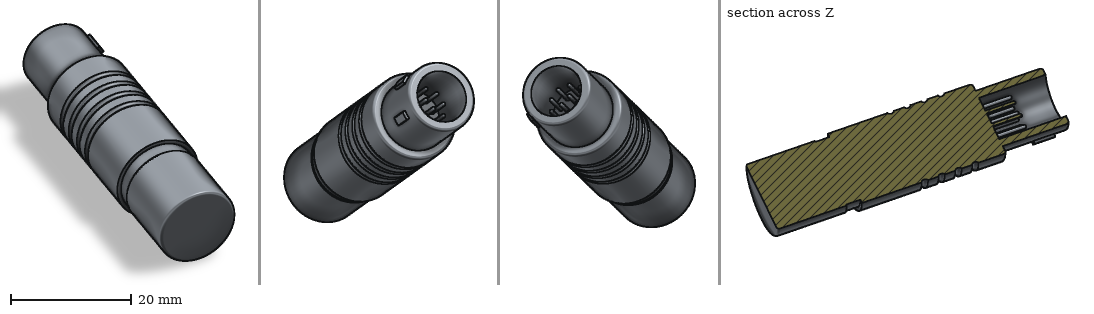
import cadquery as cq
import math

total_length = 53.0
body_diameter = 15.0
plug_diameter = 12.0
neck_diameter = 13.55
tail_diameter = 14.0

plug_end = 12.0
body_end = 38.0
neck_end = 40.5
edge_radius = 0.55

groove_count = 4
first_groove_x = 17.6
groove_pitch = 3.0
groove_width = 1.1
groove_depth = 0.35

bore_diameter = 8.8
bore_depth = plug_end
pin_diameter = 0.7
pin_length = 5.3
pin_root = 0.55
outer_pin_count = 10
outer_pin_circle_radius = 3.3
inner_pin_count = 4
inner_pin_circle_radius = 1.4

rib_start = 2.6
rib_length = 3.7
rib_width = 1.5
rib_outer_radius = 6.5
rib_root_radius = 5.3
rib_angles = (-30, 30)


def cylinder(start, length, diameter):
    """Cylinder along X, beginning at X = start."""
    return cq.Workplane("YZ").workplane(offset=start).circle(diameter / 2).extrude(length)


def make_shell():
    """Stepped round housing with rounded outer edges."""
    plug = cylinder(0, plug_end, plug_diameter).faces("<X").edges().fillet(edge_radius)
    body = cylinder(plug_end, body_end - plug_end, body_diameter).faces("<X").edges().fillet(edge_radius)
    neck = cylinder(body_end, neck_end - body_end, neck_diameter)
    tail = cylinder(neck_end, total_length - neck_end, tail_diameter).faces(">X").edges().fillet(edge_radius)
    return plug.union(body).union(neck).union(tail)


def make_groove(center_x):
    """Ring that cuts one arc-bottomed groove into the body."""
    surface = body_diameter / 2
    clear = surface + groove_depth
    left = center_x - groove_width / 2
    right = center_x + groove_width / 2
    return (
        cq.Workplane("XY")
        .moveTo(left, clear)
        .lineTo(left, surface)
        .threePointArc((center_x, surface - groove_depth), (right, surface))
        .lineTo(right, clear)
        .close()
        .revolve(360, (0, 0, 0), (1, 0, 0))
    )


def make_rib(angle):
    """Straight-sided key whose crown is concentric with the plug, turned about X from +Y."""
    block = (
        cq.Workplane("XY")
        .box(rib_length, rib_outer_radius - rib_root_radius, rib_width, centered=(False, False, True))
        .translate((rib_start, rib_root_radius, 0))
    )
    crown = cylinder(rib_start, rib_length, 2 * rib_outer_radius)
    return block.intersect(crown).rotate((0, 0, 0), (1, 0, 0), angle)


def make_pin(radius, angle):
    """Contact pin with a hemispherical tip, rooted in the chamber floor."""
    tip_radius = pin_diameter / 2
    tip_center = bore_depth - pin_length + tip_radius
    y = radius * math.cos(math.radians(angle))
    z = radius * math.sin(math.radians(angle))
    shank = cylinder(tip_center, bore_depth + pin_root - tip_center, pin_diameter)
    tip = cq.Workplane("XY").sphere(tip_radius).translate((tip_center, 0, 0))
    return shank.union(tip).translate((0, y, z))


result = make_shell()

for index in range(groove_count):
    result = result.cut(make_groove(first_groove_x + index * groove_pitch))

for rib_angle in rib_angles:
    result = result.union(make_rib(rib_angle))

result = result.cut(cylinder(0, bore_depth, bore_diameter))

pin_circles = (
    (outer_pin_count, outer_pin_circle_radius),
    (inner_pin_count, inner_pin_circle_radius),
)
for count, circle_radius in pin_circles:
    for index in range(count):
        result = result.union(make_pin(circle_radius, 90 + index * 360 / count))